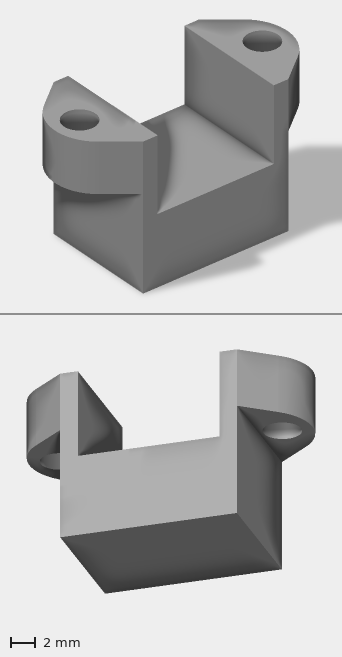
import cadquery as cq
import math

width = 11.5
block_length = 15.0
height = 14.5

channel_length = 12.0
channel_depth = 7.5

ear_thickness = 5.0
ear_radius = 4.5
hole_diameter = 3.2
hole_offset = 9.45


def make_block():
    return cq.Workplane("XY").box(width, block_length, height, centered=(True, True, False))


def make_ear(side):
    """Ear on the +Y (side = 1) or -Y (side = -1) end: a rounded tip with tangent flanks."""
    half_width = width / 2
    end_y = block_length / 2
    tangent_x = ear_radius**2 / half_width
    tangent_rise = math.sqrt(ear_radius**2 - tangent_x**2)
    return (
        cq.Workplane("XY", origin=(0, 0, height - ear_thickness))
        .moveTo(-half_width, side * end_y)
        .lineTo(-tangent_x, side * (end_y + tangent_rise))
        .threePointArc((0, side * (end_y + ear_radius)), (tangent_x, side * (end_y + tangent_rise)))
        .lineTo(half_width, side * end_y)
        .close()
        .extrude(ear_thickness)
    )


def make_channel():
    return (
        cq.Workplane("XY", origin=(0, 0, height - channel_depth))
        .box(width, channel_length, channel_depth, centered=(True, True, False))
    )


def make_holes():
    return (
        cq.Workplane("XY", origin=(0, 0, height - ear_thickness))
        .pushPoints([(0, hole_offset), (0, -hole_offset)])
        .circle(hole_diameter / 2)
        .extrude(ear_thickness)
    )


body = make_block()
for side in (1, -1):
    body = body.union(make_ear(side))

result = body.cut(make_channel()).cut(make_holes())